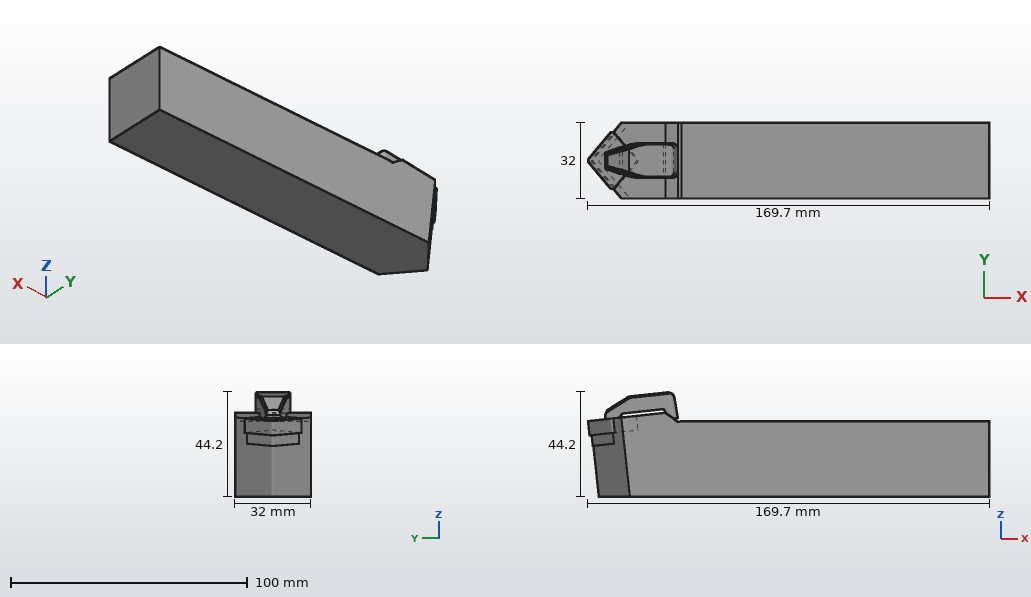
import cadquery as cq
import math

LENGTH = 169.7
SHANK_SIZE = 32.0
HALF_WIDTH = SHANK_SIZE / 2

SEAT_TILT = 6.2

NOSE_HALF_ANGLE = 50.0
NOSE_RADIUS = 1.2
INSERT_HALF_WIDTH = 12.7
INSERT_THICKNESS = 6.1
SHIM_INSET = 0.7
SHIM_THICKNESS = 4.5
HEAD_INSET = 0.8

CREST_X = 33.0
RAMP_ANGLE = 36.0
GROOVE_FLOOR_LENGTH = 1.2
GROOVE_FRONT_DEPTH = 0.27
GROOVE_WALL_RUN = 0.3

CLAMP_HALF_WIDTH = 7.5
CLAMP_HEIGHT = 8.5
CLAMP_REAR_X = 38.0
CLAMP_REAR_LEAN = 3.5
CLAMP_FOOT_Z = -2.9
CLAMP_NOSE_X = 7.5
CLAMP_NOSE_HALF_WIDTH = 3.4
NOSE_LIP_HEIGHT = 1.7
NOSE_UNDERCUT = 0.5
SLOPE_START_X = 8.7
SLOPE_START_Z = 3.7
SLOPE_END_X = 18.5
PAD_END_X = 13.4
GAP_HEIGHT = 1.5
LEG_FRONT_X = 32.5
CLAMP_REAR_RADIUS = 5.8 / 2
TAPER_ANGLE = 20.2
TAPER_DRAFT = 12.0
TAPER_BLEND = 15.3
TOP_EDGE_CHAMFER = 0.7

CUT_SIZE = 67.9

nose_angle = math.radians(NOSE_HALF_ANGLE)
sharp_nose_x = -NOSE_RADIUS * (1 / math.sin(nose_angle) - 1)
seat_angle = math.radians(SEAT_TILT)
crest_x = CREST_X * math.cos(seat_angle)
crest_z = SHANK_SIZE + CREST_X * math.sin(seat_angle)


def to_part(tilted):
    """Move a shape from the tilted seat frame to the part frame."""
    return tilted.rotate((0, 0, 0), (0, 1, 0), -SEAT_TILT).translate((0, 0, SHANK_SIZE))


def rhombus(inset, top, thickness):
    """Rhombic plate with rounded corners, shrunk by inset on every flank."""
    half_width = INSERT_HALF_WIDTH - inset / math.cos(nose_angle)
    half_length = half_width / math.tan(nose_angle)
    centre_x = sharp_nose_x + INSERT_HALF_WIDTH / math.tan(nose_angle)
    return (
        cq.Workplane("XY", origin=(centre_x, 0, top - thickness))
        .polyline([(-half_length, 0), (0, -half_width), (half_length, 0), (0, half_width)])
        .close()
        .extrude(thickness)
        .edges("|Z")
        .fillet(NOSE_RADIUS)
    )


def make_point():
    """Tall prism whose front is the head's wedge, square to the seat."""
    tip_x = sharp_nose_x + HEAD_INSET / math.sin(nose_angle)
    wedge_end_x = tip_x + CUT_SIZE / math.tan(nose_angle)
    rear_x = 2 * LENGTH
    return (
        cq.Workplane("XY", origin=(0, 0, -LENGTH))
        .polyline([
            (tip_x, 0),
            (wedge_end_x, -CUT_SIZE),
            (rear_x, -CUT_SIZE),
            (rear_x, CUT_SIZE),
            (wedge_end_x, CUT_SIZE),
        ])
        .close()
        .extrude(2 * LENGTH)
        .edges("|Z and <X")
        .fillet(NOSE_RADIUS)
    )


def make_shank():
    """Square bar with the tilted seat, ramp and groove, pointed at the front."""
    ramp_angle = math.radians(RAMP_ANGLE)
    groove_front_z = SHANK_SIZE - GROOVE_FRONT_DEPTH
    groove_front_x = crest_x + (crest_z - groove_front_z) / math.tan(ramp_angle)
    groove_rear_x = groove_front_x + GROOVE_FLOOR_LENGTH
    groove_rear_z = groove_front_z + GROOVE_FLOOR_LENGTH * math.tan(seat_angle)
    front_x = -crest_x
    front_z = SHANK_SIZE - crest_x * math.tan(seat_angle)
    bar = (
        cq.Workplane("XZ")
        .polyline([
            (front_x, 0),
            (LENGTH, 0),
            (LENGTH, SHANK_SIZE),
            (groove_rear_x + GROOVE_WALL_RUN, SHANK_SIZE),
            (groove_rear_x, groove_rear_z),
            (groove_front_x, groove_front_z),
            (crest_x, crest_z),
            (front_x, front_z),
        ])
        .close()
        .extrude(HALF_WIDTH, both=True)
    )
    return bar.intersect(to_part(make_point()))


def taper_cutter(side):
    """Block whose inner face is the drafted tapered flank on one side (+1 or -1)."""
    block = cq.Workplane("XY").box(CUT_SIZE, CUT_SIZE, CUT_SIZE)
    block = block.translate((0, side * CUT_SIZE / 2, 0))
    block = block.rotate((0, 0, 0), (1, 0, 0), side * TAPER_DRAFT)
    block = block.rotate((0, 0, 0), (0, 0, 1), side * TAPER_ANGLE)
    return block.translate((CLAMP_NOSE_X, side * CLAMP_NOSE_HALF_WIDTH, 0))


def clamp_blank():
    """Clamp side profile at full width, with sharp edges."""
    ramp_slope = math.tan(math.radians(RAMP_ANGLE + SEAT_TILT))
    foot_x = CREST_X - CLAMP_FOOT_Z / ramp_slope
    rear_top_x = CLAMP_REAR_X - (CLAMP_HEIGHT - CLAMP_FOOT_Z) * math.tan(math.radians(CLAMP_REAR_LEAN))
    return (
        cq.Workplane("XZ")
        .polyline([
            (CLAMP_NOSE_X + NOSE_UNDERCUT, 0),
            (CLAMP_NOSE_X, NOSE_UNDERCUT),
            (CLAMP_NOSE_X, NOSE_LIP_HEIGHT),
            (SLOPE_START_X, SLOPE_START_Z),
            (SLOPE_END_X, CLAMP_HEIGHT),
            (rear_top_x, CLAMP_HEIGHT),
            (CLAMP_REAR_X, CLAMP_FOOT_Z),
            (foot_x, CLAMP_FOOT_Z),
            (CREST_X, 0),
            (LEG_FRONT_X, GAP_HEIGHT),
            (PAD_END_X + GAP_HEIGHT, GAP_HEIGHT),
            (PAD_END_X, 0),
        ])
        .close()
        .extrude(CLAMP_HALF_WIDTH, both=True)
    )


def make_clamp():
    """Clamp finger, in the tilted frame: front pad on the insert, rear leg on the ramp."""
    rear_face = cq.selectors.NearestToPointSelector((CLAMP_REAR_X, 0, CLAMP_HEIGHT / 2))
    clamp = clamp_blank().faces(rear_face).edges("not |Y").fillet(CLAMP_REAR_RADIUS)
    for side in (-1, 1):
        clamp = clamp.cut(taper_cutter(side))

    taper_length = (CLAMP_HALF_WIDTH - CLAMP_NOSE_HALF_WIDTH) / math.tan(math.radians(TAPER_ANGLE))
    taper_shift = CLAMP_HEIGHT / 2 * math.tan(math.radians(TAPER_DRAFT)) / math.sin(math.radians(TAPER_ANGLE))
    taper_end_x = CLAMP_NOSE_X + taper_length
    for side in (-1, 1):
        taper_edge = cq.selectors.NearestToPointSelector(
            (taper_end_x + taper_shift, side * CLAMP_HALF_WIDTH, CLAMP_HEIGHT / 2)
        )
        clamp = clamp.edges(taper_edge).fillet(TAPER_BLEND)

    slope_centre = ((SLOPE_START_X + SLOPE_END_X) / 2, 0, (SLOPE_START_Z + CLAMP_HEIGHT) / 2)
    slope_face = clamp.faces(cq.selectors.NearestToPointSelector(slope_centre))
    upper_faces = clamp.faces(">Z").add(slope_face)
    clamp = upper_faces.edges("not |Y").chamfer(TOP_EDGE_CHAMFER)

    top_rounded = clamp_blank().faces(">Z").edges(">X").fillet(CLAMP_REAR_RADIUS)
    return clamp.intersect(top_rounded)


def make_insert():
    """Cutting insert, its top flush with the seat."""
    return to_part(rhombus(0, 0, INSERT_THICKNESS))


def make_holder():
    """Shank with its shim and clamp, and the pocket that the insert fills."""
    shim = to_part(rhombus(SHIM_INSET, -INSERT_THICKNESS, SHIM_THICKNESS))
    clamp = to_part(make_clamp())
    return make_shank().union(shim).union(clamp).cut(make_insert())


holder = make_holder()
insert = make_insert()

result = cq.Compound.makeCompound([holder.solids().val(), insert.solids().val()])